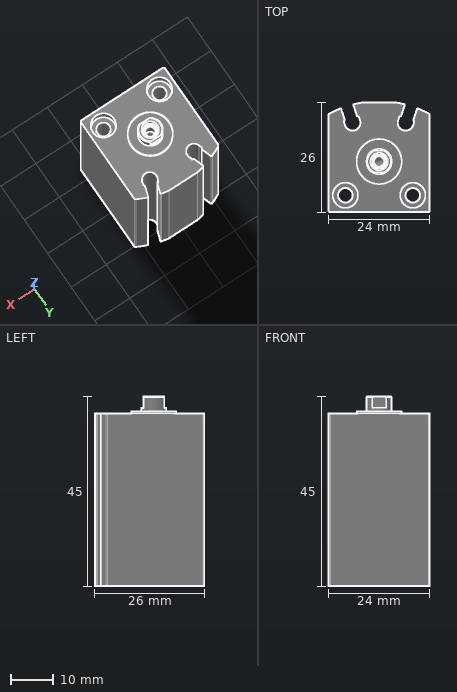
import cadquery as cq
import math

WIDTH = 24.0
FRONT_Y = -12.0
BACK_Y = 14.0
BODY_HEIGHT = 41.0
CORNER_RADIUS = 0.4
CROWN_RADIUS = 25.0
FLAT_HALF_WIDTH = 4.1

COLLAR_DIAMETER = 10.7
COLLAR_HEIGHT = 0.5

HOLE_X = 8.0
HOLE_Y = -8.0
HOLE_DIAMETER = 3.4
COUNTERBORE_DIAMETER = 6.0
COUNTERBORE_DEPTH = 3.4

GROOVE_X = 6.3
GROOVE_Y = 9.2
GROOVE_DIAMETER = 3.7
GROOVE_TILT = 18.5
GROOVE_WALL_TOP = 0.9
GROOVE_NECK_BOTTOM = 1.15
GROOVE_NECK_WIDTH = 3.0
GROOVE_NECK_LENGTH = 6.0
GROOVE_LIP_RADIUS = 0.2

ROD_DIAMETER = 6.0
ROD_TOP = 45.0
ROD_DEPTH = 20.0
ROD_CHAMFER = 0.2
ROD_ACROSS_FLATS = 5.0
ROD_FLAT_LENGTH = 2.7

COUNTERSINK_DIAMETER = 4.13
RELIEF_DIAMETER = 3.3
RELIEF_DEPTH = 1.5
SEAT_DIAMETER = 3.0
CORE_DIAMETER = 2.46
CORE_DEPTH = 6.0
DRILL_POINT_ANGLE = 118.0

COLLAR_TOP = BODY_HEIGHT + COLLAR_HEIGHT
ROD_BOTTOM = COLLAR_TOP - ROD_DEPTH


def crown_y(x):
    """Y of the convex back face at a given X."""
    centre_y = BACK_Y - math.sqrt(CROWN_RADIUS**2 - FLAT_HALF_WIDTH**2)
    return centre_y + math.sqrt(CROWN_RADIUS**2 - x**2)


def make_blank():
    """Housing profile with rounded corners, before any cuts."""
    side = WIDTH / 2
    arc_middle = (FLAT_HALF_WIDTH + side) / 2
    profile = (
        cq.Workplane("XY")
        .moveTo(-side, FRONT_Y)
        .lineTo(side, FRONT_Y)
        .lineTo(side, crown_y(side))
        .threePointArc((arc_middle, crown_y(arc_middle)), (FLAT_HALF_WIDTH, BACK_Y))
        .lineTo(-FLAT_HALF_WIDTH, BACK_Y)
        .threePointArc((-arc_middle, crown_y(arc_middle)), (-side, crown_y(side)))
        .close()
    )
    blank = profile.extrude(BODY_HEIGHT)
    corner_edges = blank.edges("|Z and (<X or >X)")
    return corner_edges.fillet(CORNER_RADIUS)


def make_groove(side):
    """Cutter for one sensor groove; side is -1 or 1 along X."""
    radius = GROOVE_DIAMETER / 2
    neck = GROOVE_NECK_WIDTH / 2
    outline = (
        cq.Workplane("XY")
        .moveTo(-radius, 0)
        .threePointArc((0, -radius), (radius, 0))
        .lineTo(radius, GROOVE_WALL_TOP)
        .lineTo(neck, GROOVE_NECK_BOTTOM)
        .lineTo(neck, GROOVE_NECK_LENGTH)
        .lineTo(-neck, GROOVE_NECK_LENGTH)
        .lineTo(-neck, GROOVE_NECK_BOTTOM)
        .lineTo(-radius, GROOVE_WALL_TOP)
        .close()
    )
    cutter = outline.extrude(BODY_HEIGHT)
    cutter = cutter.rotate((0, 0, 0), (0, 0, 1), -side * GROOVE_TILT)
    return cutter.translate((side * GROOVE_X, GROOVE_Y, 0))


def round_groove_lips(housing):
    """Round the vertical edges where the groove necks open through the crown."""
    tilt = math.radians(GROOVE_TILT)
    mouth_y = crown_y(GROOVE_X)
    mouth_x = GROOVE_X + (mouth_y - GROOVE_Y) * math.tan(tilt)
    mouth_reach = GROOVE_NECK_WIDTH / math.cos(tilt) / 2
    for side in (-1, 1):
        for edge_offset in (-mouth_reach, mouth_reach):
            lip_x = side * (mouth_x + edge_offset)
            lip = cq.selectors.NearestToPointSelector((lip_x, crown_y(lip_x), BODY_HEIGHT / 2))
            housing = housing.edges("|Z").edges(lip).fillet(GROOVE_LIP_RADIUS)
    return housing


def make_housing():
    housing = make_blank()
    for side in (-1, 1):
        housing = housing.cut(make_groove(side))
    housing = round_groove_lips(housing)

    housing = (
        housing.faces(">Z")
        .workplane(origin=(0, 0, BODY_HEIGHT))
        .pushPoints([(-HOLE_X, HOLE_Y), (HOLE_X, HOLE_Y)])
        .cboreHole(HOLE_DIAMETER, COUNTERBORE_DIAMETER, COUNTERBORE_DEPTH)
    )

    collar = (
        cq.Workplane("XY", origin=(0, 0, BODY_HEIGHT))
        .circle(COLLAR_DIAMETER / 2)
        .extrude(COLLAR_HEIGHT)
    )
    rod_bore = (
        cq.Workplane("XY", origin=(0, 0, ROD_BOTTOM))
        .circle(ROD_DIAMETER / 2)
        .extrude(ROD_DEPTH)
    )
    return housing.union(collar).cut(rod_bore)


def make_rod_hole():
    """Cutter for the hole in the rod end: countersink and seat at 45 degrees, relief, core, drill point."""
    countersink = COUNTERSINK_DIAMETER / 2
    relief = RELIEF_DIAMETER / 2
    seat = SEAT_DIAMETER / 2
    core = CORE_DIAMETER / 2
    point_depth = core / math.tan(math.radians(DRILL_POINT_ANGLE / 2))
    return (
        cq.Workplane("XZ")
        .moveTo(0, ROD_TOP)
        .lineTo(countersink, ROD_TOP)
        .lineTo(relief, ROD_TOP - (countersink - relief))
        .lineTo(relief, ROD_TOP - RELIEF_DEPTH)
        .lineTo(seat, ROD_TOP - RELIEF_DEPTH)
        .lineTo(core, ROD_TOP - RELIEF_DEPTH - (seat - core))
        .lineTo(core, ROD_TOP - CORE_DEPTH)
        .lineTo(0, ROD_TOP - CORE_DEPTH - point_depth)
        .close()
        .revolve(360, (0, 0, 0), (0, 1, 0))
    )


def make_rod():
    rod = (
        cq.Workplane("XY", origin=(0, 0, ROD_BOTTOM))
        .circle(ROD_DIAMETER / 2)
        .extrude(ROD_TOP - ROD_BOTTOM)
        .faces(">Z")
        .chamfer(ROD_CHAMFER)
    )
    flat_depth = (ROD_DIAMETER - ROD_ACROSS_FLATS) / 2
    flat_centre_y = (ROD_DIAMETER + ROD_ACROSS_FLATS) / 4
    flat_cuts = (
        cq.Workplane("XY", origin=(0, 0, ROD_TOP - ROD_FLAT_LENGTH))
        .pushPoints([(0, -flat_centre_y), (0, flat_centre_y)])
        .rect(ROD_DIAMETER, flat_depth)
        .extrude(ROD_FLAT_LENGTH)
    )
    return rod.cut(flat_cuts).cut(make_rod_hole())


housing = make_housing()
rod = make_rod()

result = cq.Compound.makeCompound([housing.val(), rod.val()])